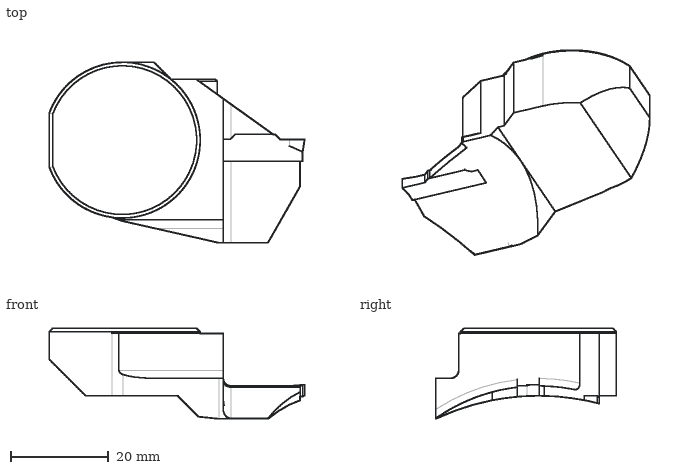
import cadquery as cq
import math


disc_radius = 15.95
disc_x = 14.95
disc_top = 13.85
disc_chamfer = 0.75

shank_top = 12.75
wall_x = 35.65
front_wall_y = -16.35
shelf_z = 3.6
shelf_fillet = 1.7
end_bevel = 7.5
shoulder_x = 21.45
back_y = 12.5
front_y = -21.05
front_corner_x = 34.7
flank_join_x = 12.75
flank_start_x = 15.0
flank_start_y = -16.6
nose_bevel_x = 26.3
diagonal_start_x = 30.05

blade_end_x = 51.4
blade_corner_y = -9.5
blade_front_end_x = 44.8
blade_crown_z = 2.05
blade_top_radius = 36.65
blade_fillet = 1.55
blade_under_z = 0.0
blade_under_radius = 49.2
blade_tip_x = 47.3

ledge_end_x = 34.45
ledge_top = 0.0
ledge_chamfer = 0.45

insert_front_y = -4.35
insert_back_y = 0.15
insert_shoulder_y = 1.2
insert_shoulder_slope = insert_shoulder_y - insert_back_y
insert_end_x = 51.95
insert_tip_x = 52.35
insert_left_shoulder_x = 37.05
chip_start_x = 49.2
chip_elbow_y = -1.2
chip_front_y = -2.4
chip_rise = 0.25

far = 62.8
deep = -7.85


def prism(points, bottom, top):
    """Vertical prism over a plan outline."""
    return cq.Workplane("XY").workplane(offset=bottom).polyline(points).close().extrude(top - bottom)


def side_prism(points, y_start, y_end):
    """Prism along Y over an outline given in X and Z."""
    plane = cq.Workplane("XZ", origin=(0, y_start, 0))
    return plane.polyline(points).close().extrude(y_start - y_end)


def cylinder_along_x(radius, crown_z, x_start, x_end):
    """Cylinder along X whose highest line lies at crown_z."""
    plane = cq.Workplane("YZ", origin=(x_start, 0, 0))
    return plane.center(0, crown_z - radius).circle(radius).extrude(x_end - x_start)


def make_disc():
    disc = cq.Workplane("XY").center(disc_x, 0).circle(disc_radius).extrude(disc_top)
    disc = disc.intersect(prism([(0, -far), (far, -far), (far, far), (0, far)], 0, disc_top))
    return disc.faces(">Z").chamfer(disc_chamfer)


def make_ledge():
    """Low ledge left standing outside the diagonal wall."""
    outline = [
        (shoulder_x, 0),
        (ledge_end_x, 0),
        (ledge_end_x, back_y),
        (shoulder_x, back_y),
    ]
    ledge = prism(outline, deep, ledge_top)
    return ledge.edges(">Y and (>X or >Z)").chamfer(ledge_chamfer)


def make_shank_and_blade():
    """Full-height prism over the shank and blade outline."""
    shoulder_drop = disc_radius - back_y
    flank_join_y = -math.sqrt(disc_radius**2 - (disc_x - flank_join_x) ** 2)
    outline = [
        (disc_x, disc_radius),
        (shoulder_x, disc_radius),
        (shoulder_x + shoulder_drop, back_y),
        (diagonal_start_x, back_y),
        (blade_tip_x, insert_back_y),
        (blade_end_x, insert_back_y),
        (blade_end_x, blade_corner_y),
        (blade_front_end_x, front_y),
        (front_corner_x, front_y),
        (flank_start_x, flank_start_y),
        (flank_join_x, flank_join_y),
    ]
    return prism(outline, deep, shank_top)


def make_shelf_cut():
    """Space over the front shelf, rounded where the shelf meets the wall."""
    cut = cq.Workplane("XY").box(far, far, far, centered=(False, False, False))
    cut = cut.translate((0, front_wall_y - far, shelf_z))
    return cut.edges(">Y and <Z").fillet(shelf_fillet)


def make_blade_cut():
    """Space over the blade, rounded where the blade meets the end wall."""
    cut = cq.Workplane("XY").box(far, far, far, centered=(False, True, False))
    cut = cut.translate((wall_x, 0, blade_crown_z - far / 2))
    cut = cut.cut(cylinder_along_x(blade_top_radius, blade_crown_z, wall_x - 0.5, wall_x + far))
    rim_middle = (wall_x, 0, blade_crown_z)
    return cut.edges(cq.selectors.NearestToPointSelector(rim_middle)).fillet(blade_fillet)


def make_underside_cut():
    """Space under the shank, with a 45 degree rise at the nose."""
    outline = [
        (-far, 0),
        (nose_bevel_x, 0),
        (nose_bevel_x - deep, deep),
        (-far, deep),
    ]
    return side_prism(outline, -far, far)


def make_end_bevel_cut():
    return side_prism([(0, 0), (end_bevel, 0), (0, end_bevel)], -far, far)


def insert_outline():
    right_shoulder_x = blade_tip_x - insert_shoulder_slope
    return [
        (wall_x, insert_front_y),
        (insert_end_x, insert_front_y),
        (insert_end_x, chip_front_y),
        (insert_tip_x, insert_back_y),
        (blade_tip_x, insert_back_y),
        (right_shoulder_x, insert_shoulder_y),
        (insert_left_shoulder_x + insert_shoulder_slope, insert_shoulder_y),
        (insert_left_shoulder_x, insert_back_y),
        (wall_x, insert_back_y),
    ]


def make_holder():
    holder = make_shank_and_blade().union(make_ledge())
    holder = holder.cut(make_shelf_cut()).cut(make_blade_cut())
    holder = holder.cut(cylinder_along_x(blade_under_radius, blade_under_z, -far, far))
    holder = holder.cut(make_underside_cut())
    holder = holder.union(make_disc()).cut(make_end_bevel_cut())
    return holder.cut(prism(insert_outline(), deep, shank_top))


def make_insert():
    body = prism(insert_outline(), deep, blade_crown_z)
    body = body.cut(cylinder_along_x(blade_under_radius, blade_under_z, 0, far))
    chip_outline = [
        (chip_start_x, insert_back_y),
        (chip_start_x, chip_elbow_y),
        (insert_end_x, chip_front_y),
        (insert_tip_x, insert_back_y),
    ]
    ramp_base = blade_crown_z - chip_rise
    ramp = [
        (chip_start_x, ramp_base),
        (insert_tip_x, ramp_base),
        (insert_tip_x, blade_crown_z + chip_rise),
        (chip_start_x, blade_crown_z),
    ]
    chip_former = prism(chip_outline, ramp_base, shank_top).intersect(side_prism(ramp, -far, far))
    return body.union(chip_former)


holder = make_holder()
insert = make_insert()
result = cq.Compound.makeCompound([holder.val(), insert.val()])